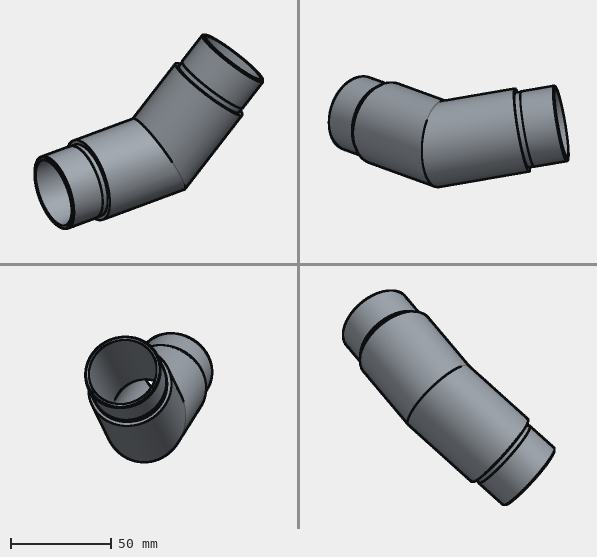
import cadquery as cq
import math

overall_length = 117.8
bend_angle = 45.0
body_diameter = 42.2
spigot_diameter = 38.3
groove_diameter = 37.9
bore_diameter = 34.4
spigot_length = 20.0
groove_width = 3.0
end_chamfer = 0.5

bend = math.radians(bend_angle)
rim_radius = spigot_diameter / 2 - end_chamfer
leg_length = (overall_length - rim_radius * math.sin(bend)) / (1 + math.cos(bend))
body_length = leg_length - spigot_length

mitre_normal = (0, math.cos(bend / 2), math.sin(bend / 2))
mitre_overrun = body_diameter
trim_size = 4 * body_diameter


def rod(diameter, start, end):
    """Solid cylinder on the Y axis, running towards -Y between two distances from the origin."""
    return cq.Workplane("XZ", origin=(0, -start, 0)).circle(diameter / 2).extrude(end - start)


def make_leg():
    """Level leg: body, grooved spigot and through bore, cut off at the mitre plane."""
    body = rod(body_diameter, -mitre_overrun, body_length)
    groove = rod(groove_diameter, body_length, body_length + groove_width)
    spigot = rod(spigot_diameter, body_length + groove_width, leg_length)
    spigot = spigot.faces("<Y").chamfer(end_chamfer)
    bore = rod(bore_diameter, -mitre_overrun, leg_length)

    mitre_plane = cq.Plane(origin=(0, 0, 0), xDir=(1, 0, 0), normal=mitre_normal)
    beyond_mitre = cq.Workplane(mitre_plane).rect(trim_size, trim_size).extrude(trim_size)
    return body.union(groove).union(spigot).cut(bore).cut(beyond_mitre)


level_leg = make_leg()
raised_leg = cq.Workplane(
    level_leg.val().mirror(cq.Vector(*mitre_normal), cq.Vector(0, 0, 0))
)
result = level_leg.union(raised_leg)